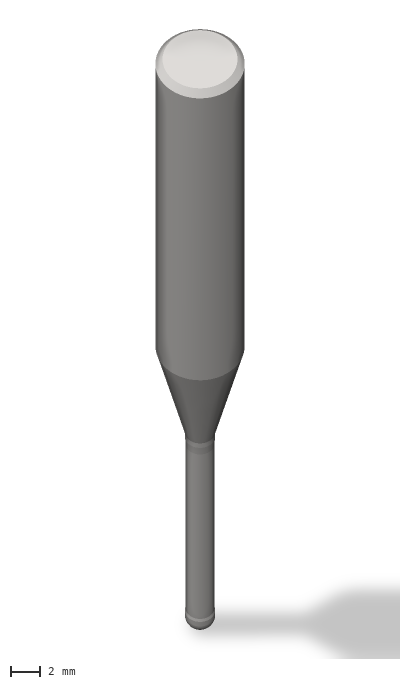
import cadquery as cq
import math

TOTAL_LENGTH = 60.0
SHANK_RADIUS = 3.0
CHAMFER_WIDTH = 0.5
CHAMFER_HEIGHT = 0.5

TIP_RADIUS = 1.0
TIP_LENGTH = 1.5

NECK_RADIUS = 0.95
NECK_BOTTOM = 1.75
NECK_TOP = 19.2

COLLAR_RADIUS = TIP_RADIUS
COLLAR_BOTTOM = 20.0
CONE_BOTTOM = 20.45
CONE_TOP = 29.6


def revolve_about_z(profile):
    """Turn a closed radius-height profile into a solid about the Z axis."""
    return profile.close().revolve(360, (0, 0, 0), (0, 1, 0))


def make_cutting_tip():
    """Hemispherical end with a short cylinder above it."""
    arc_offset = TIP_RADIUS * math.sqrt(0.5)
    profile = (
        cq.Workplane("XZ")
        .moveTo(0, 0)
        .threePointArc((arc_offset, TIP_RADIUS - arc_offset), (TIP_RADIUS, TIP_RADIUS))
        .lineTo(TIP_RADIUS, TIP_LENGTH)
        .lineTo(0, TIP_LENGTH)
    )
    return revolve_about_z(profile)


def make_holder():
    """Neck, collar, cone and chamfered shank as one turned body."""
    profile = (
        cq.Workplane("XZ")
        .moveTo(0, TIP_LENGTH)
        .lineTo(TIP_RADIUS, TIP_LENGTH)
        .lineTo(NECK_RADIUS, NECK_BOTTOM)
        .lineTo(NECK_RADIUS, NECK_TOP)
        .lineTo(COLLAR_RADIUS, COLLAR_BOTTOM)
        .lineTo(COLLAR_RADIUS, CONE_BOTTOM)
        .lineTo(SHANK_RADIUS, CONE_TOP)
        .lineTo(SHANK_RADIUS, TOTAL_LENGTH - CHAMFER_HEIGHT)
        .lineTo(SHANK_RADIUS - CHAMFER_WIDTH, TOTAL_LENGTH)
        .lineTo(0, TOTAL_LENGTH)
    )
    return revolve_about_z(profile)


cutting_tip = make_cutting_tip()
holder = make_holder()

result = cq.Compound.makeCompound([cutting_tip.val(), holder.val()])